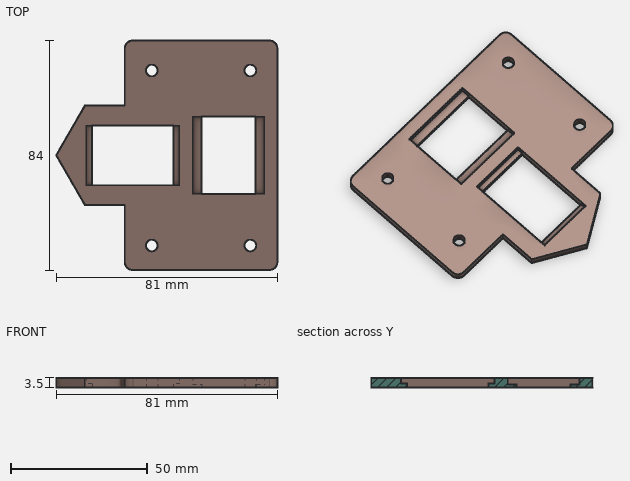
import cadquery as cq
import math

total_length = 81.0
plate_width = 84
thickness = 3.5
plate_length = 55.95
corner_radius = 3.0
plate_start = total_length - plate_length

nose_width = 36.45
nose_slope = 30
nose_shoulder = nose_width / 2 * math.tan(math.radians(nose_slope))

hole_diameter = 4.2
hole_spacing_x = 36.0
hole_spacing_y = 64.0
hole_center_x = plate_start + plate_length / 2
hole_center_y = -1.0

nose_window_start = 11.0
nose_window_length = 34.1
nose_window_width = 21.75
nose_ledge_length = 2.2
nose_ledge_thickness = 1.5
plate_window_start = 50.0
plate_window_length = 26.2
plate_window_width = 28.2
plate_ledge_length = 3.3
plate_ledge_thickness = 1.2


def make_plate():
    return (
        cq.Workplane("XY")
        .box(plate_length, plate_width, thickness, centered=(False, True, False))
        .translate((plate_start, 0, 0))
        .edges("|Z")
        .fillet(corner_radius)
    )


def make_nose():
    half_width = nose_width / 2
    nose_end = plate_start + corner_radius
    outline = [
        (0, 0),
        (nose_shoulder, -half_width),
        (nose_end, -half_width),
        (nose_end, half_width),
        (nose_shoulder, half_width),
    ]
    return cq.Workplane("XY").polyline(outline).close().extrude(thickness)


def make_window(start, length, width, ledge_length, ledge_thickness):
    center_x = start + length / 2
    opening = (
        cq.Workplane("XY")
        .center(center_x, 0)
        .rect(length - 2 * ledge_length, width)
        .extrude(thickness)
    )
    recess = (
        cq.Workplane("XY", origin=(center_x, 0, ledge_thickness))
        .rect(length, width)
        .extrude(thickness - ledge_thickness)
    )
    return opening.union(recess)


def make_holes():
    return (
        cq.Workplane("XY")
        .center(hole_center_x, hole_center_y)
        .rect(hole_spacing_x, hole_spacing_y, forConstruction=True)
        .vertices()
        .circle(hole_diameter / 2)
        .extrude(thickness)
    )


nose_window = make_window(
    nose_window_start,
    nose_window_length,
    nose_window_width,
    nose_ledge_length,
    nose_ledge_thickness,
)
plate_window = make_window(
    plate_window_start,
    plate_window_length,
    plate_window_width,
    plate_ledge_length,
    plate_ledge_thickness,
)

result = make_plate().union(make_nose()).cut(nose_window).cut(plate_window).cut(make_holes())